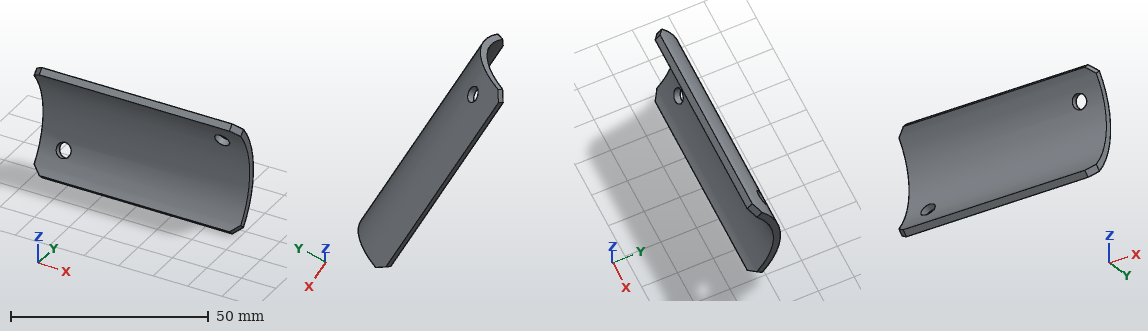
import cadquery as cq
import math

length = 60.0
inner_radius = 21.2
thickness = 2.0
height = 32.83
corner_chamfer = 2.4
hole_diameter = 4.2
hole_offset_x = 23.0
hole_angle = 23.7

outer_radius = inner_radius + thickness
half_angle = math.degrees(math.asin(height / 2 / outer_radius))


def arc_point(radius, angle):
    """Point (y, z) on the curved section; zero degrees is the middle of the arc, at +Y."""
    a = math.radians(angle)
    return radius * math.cos(a), radius * math.sin(a)


def curved_plate():
    """Arc-shaped section in the YZ plane, extruded along X and centred on X = 0."""
    return (
        cq.Workplane("YZ")
        .moveTo(*arc_point(outer_radius, -half_angle))
        .threePointArc(arc_point(outer_radius, 0), arc_point(outer_radius, half_angle))
        .lineTo(*arc_point(inner_radius, half_angle))
        .threePointArc(arc_point(inner_radius, 0), arc_point(inner_radius, -half_angle))
        .close()
        .extrude(length / 2, both=True)
    )


def chamfer_corners(plate):
    """Chamfer the four corners, whose edges are the straight radial ones at both ends."""
    return plate.faces("<X or >X").edges("%LINE").chamfer(corner_chamfer)


def radial_hole(x, angle):
    """Cutter for a hole through the wall, pointing away from the axis of the arc."""
    y, z = arc_point(1.0, angle)
    return cq.Workplane(
        cq.Solid.makeCylinder(
            hole_diameter / 2, outer_radius + thickness, cq.Vector(x, 0, 0), cq.Vector(0, y, z)
        )
    )


result = chamfer_corners(curved_plate())
for side in (-1, 1):
    result = result.cut(radial_hole(side * hole_offset_x, side * hole_angle))